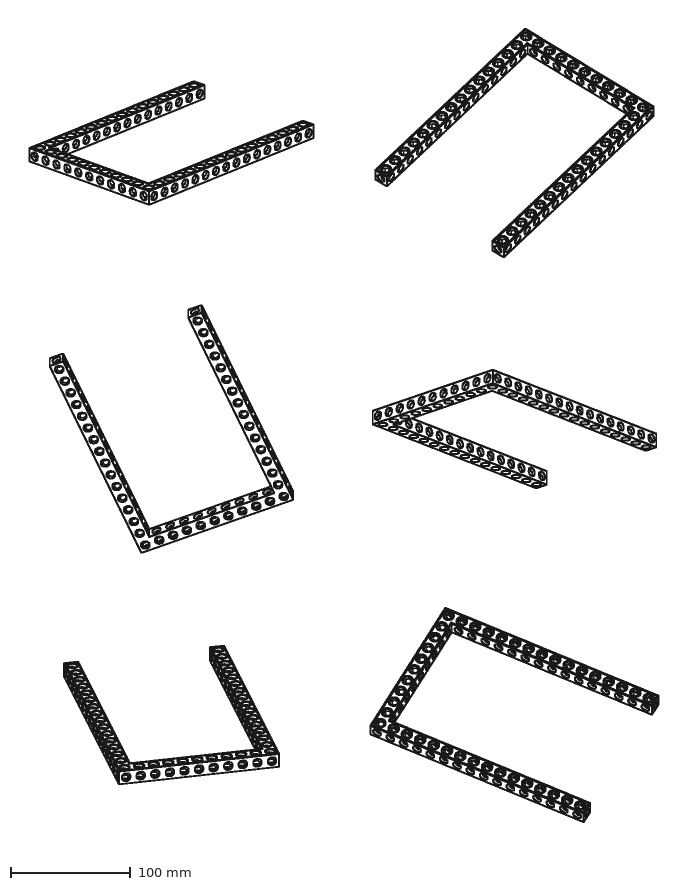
import cadquery as cq

length = 200.0
cells_long = 16
cells_wide = 11
hole_diameter = 7.0
chamfer = 0.3
rim_width = 0.8
recess_depth = 0.2

pitch = length / cells_long
width = cells_wide * pitch
beam = pitch
mouth_diameter = hole_diameter + 2 * chamfer
ring_diameter = mouth_diameter + 2 * rim_width
recess_inset = chamfer + rim_width


def cell_centers(count):
    """Centres of the cells along a beam of the given cell count, symmetric about zero."""
    return [(i - (count - 1) / 2) * pitch for i in range(count)]


def u_shape(inset, bottom, top):
    """U-shaped plate between two heights, its outline moved inward by the inset."""
    height = top - bottom
    plate = cq.Workplane("XY").box(width - 2 * inset, length - 2 * inset, height)
    opening_width = width - 2 * beam + 2 * inset
    opening = cq.Workplane("XY").box(opening_width, length, height)
    opening = opening.translate((0, beam - inset, 0))
    return plate.cut(opening).translate((0, 0, (bottom + top) / 2))


def chamfered_hole(hole_length):
    """Hole cutter along +Z from the origin, widened by a chamfer at both mouths."""
    radius = hole_diameter / 2
    mouth_radius = mouth_diameter / 2
    profile = [
        (0, 0),
        (mouth_radius, 0),
        (radius, chamfer),
        (radius, hole_length - chamfer),
        (mouth_radius, hole_length),
        (0, hole_length),
    ]
    return cq.Workplane("XZ").polyline(profile).close().revolve(360, (0, 0, 0), (0, 1, 0)).val()


def cut_holes(body, cutter, starts):
    """Cut one copy of the hole cutter at each start point."""
    cutters = [cutter.translate(cq.Vector(*start)) for start in starts]
    return body.cut(cq.Workplane(cq.Compound.makeCompound(cutters)))


def turned_to_x(cutter):
    """The cutter turned to run along +X."""
    return cutter.rotate(cq.Vector(0, 0, 0), cq.Vector(0, 1, 0), 90)


def turned_to_y(cutter):
    """The cutter turned to run along +Y."""
    return cutter.rotate(cq.Vector(0, 0, 0), cq.Vector(1, 0, 0), -90)


columns = cell_centers(cells_wide)
rows = cell_centers(cells_long)
arm_columns = [columns[0], columns[-1]]
cross_columns = columns[1:-1]
cross_row = rows[0]
arm_rows = rows[1:]

arm_cells = [(x, y) for x in arm_columns for y in rows]
cross_cells = [(x, cross_row) for x in cross_columns]
cells = arm_cells + cross_cells

frame = u_shape(0, -beam / 2, beam / 2)
inner_corner_y = -length / 2 + beam
outer_upright_edges = frame.edges("|Z").filter(
    lambda edge: abs(edge.Center().y - inner_corner_y) > beam / 2
)
frame = frame.faces("<Z or >Z").edges().add(outer_upright_edges).chamfer(chamfer)

recess = u_shape(recess_inset, beam / 2 - recess_depth, beam / 2)
rings = (
    cq.Workplane("XY", origin=(0, 0, beam / 2 - recess_depth))
    .pushPoints(cells)
    .circle(ring_diameter / 2)
    .extrude(recess_depth)
)
frame = frame.cut(recess.cut(rings))

beam_hole = chamfered_hole(beam)

frame = cut_holes(frame, beam_hole, [(x, y, -beam / 2) for x, y in cells])

arm_starts = [(x - beam / 2, y, 0) for x in arm_columns for y in arm_rows]
frame = cut_holes(frame, turned_to_x(beam_hole), arm_starts)
frame = cut_holes(frame, turned_to_x(chamfered_hole(width)), [(-width / 2, cross_row, 0)])

cross_starts = [(x, -length / 2, 0) for x in cross_columns]
frame = cut_holes(frame, turned_to_y(beam_hole), cross_starts)
arm_hole_starts = [(x, -length / 2, 0) for x in arm_columns]
frame = cut_holes(frame, turned_to_y(chamfered_hole(length)), arm_hole_starts)

result = frame